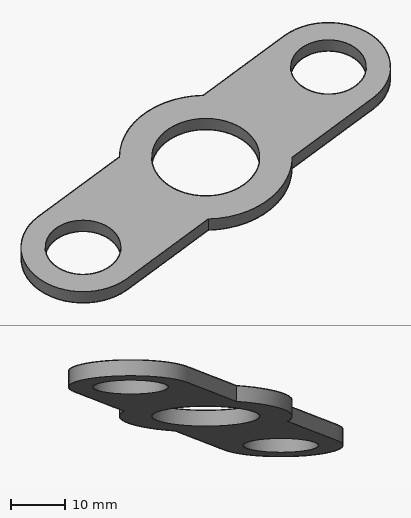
import cadquery as cq

thickness = 3.0
hole_spacing = 65.1
arm_width = 23.0
hub_diameter = 32.0

bolt_hole_diameter = 14.0
bore_diameter = 20.0


def make_plate():
    """Round-ended arm along Y, merged with a round hub at its middle."""
    arm = cq.Workplane("XY").slot2D(hole_spacing + arm_width, arm_width, 90).extrude(thickness)
    hub = cq.Workplane("XY").circle(hub_diameter / 2).extrude(thickness)
    return arm.union(hub)


def cut_holes(plate):
    """Central bore and one bolt hole concentric with each arm end."""
    bolt_centres = [(0, -hole_spacing / 2), (0, hole_spacing / 2)]
    bored = plate.faces(">Z").workplane(origin=(0, 0, 0)).circle(bore_diameter / 2).cutThruAll()
    return (
        bored.faces(">Z").workplane(origin=(0, 0, 0))
        .pushPoints(bolt_centres).circle(bolt_hole_diameter / 2).cutThruAll()
    )


result = cut_holes(make_plate())